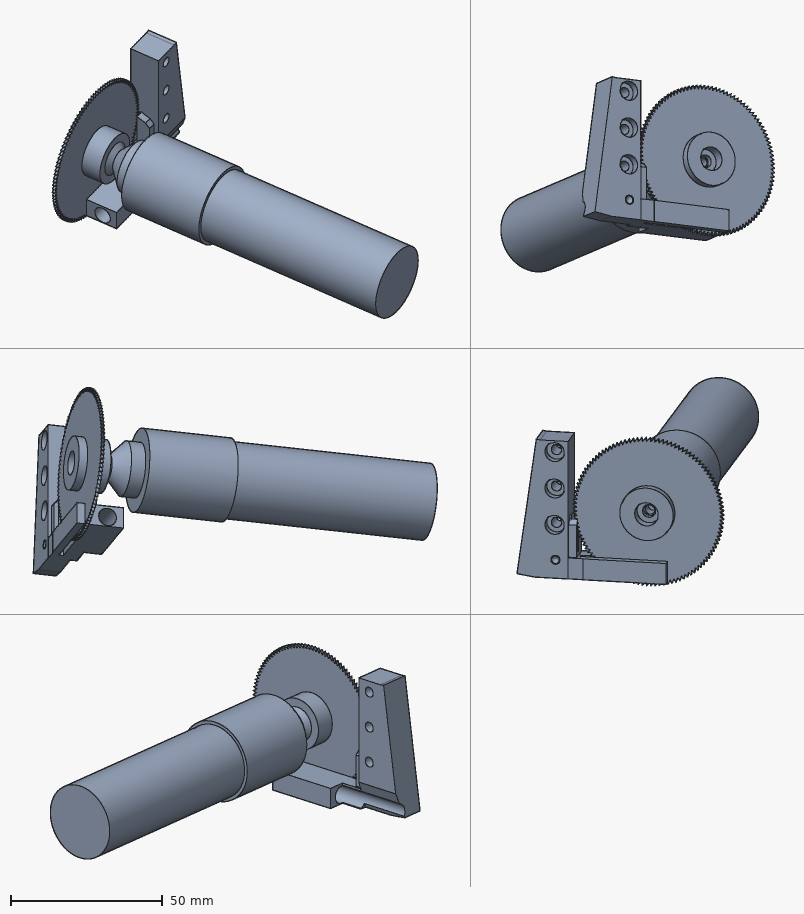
import cadquery as cq
import math

TOTAL_LENGTH = 122.3

BLADE_DIAMETER = 50.7
BLADE_THICKNESS = 1.0
BLADE_START = 2.9
BLADE_END = BLADE_START + BLADE_THICKNESS
TOOTH_COUNT = 110
FIRST_TOOTH_SHIFT = -0.1
TOOTH_DEPTH = 1.2
TOOTH_GULLET_SHARE = 0.2

FLANGE_DIAMETER = 18.0
FLANGE_END = 11.0
PILOT_DIAMETER = 12.7
PILOT_END = 6.1
ARBOR_CONE_DIAMETER = 12.0
NECK_DIAMETER = 8.3
NECK_X = 12.8
SCREW_HEAD_DIAMETER = 8.0
SCREW_HEAD_DEPTH = 4.0
SCREW_CLEARANCE_DIAMETER = 4.3
SCREW_THREAD_DIAMETER = 3.3
SCREW_THREAD_DEPTH = 4.9

NOSE_DIAMETER = 18.6
NOSE_X = 18.0
COLLAR_DIAMETER = 28.0
COLLAR_X = 22.9
HANDLE_DIAMETER = 25.7
HANDLE_X = 53.3

BRACKET_WIDTH = 11.0
BRACKET_FRONT_Y = 26.4
BRACKET_BACK_Y = 43.7
BRACKET_BOTTOM_Z = -23.7
BRACKET_TOP_Z = 23.5
BACK_FOOT_Z = -22.9
BACK_LEAN = math.tan(math.radians(8.0))
BACK_TOP_RUN = 1.3
BEVEL_START_Z = -13.7
BEVEL_DEPTH = 3.4

MOUNT_HOLE_Y = 30.9
MOUNT_HOLE_TOP_Z = 19.6
MOUNT_HOLE_PITCH = 12.5
MOUNT_HOLE_COUNT = 3
MOUNT_HOLE_DIAMETER = 3.4
MOUNT_HEAD_DIAMETER = 6.5
MOUNT_HEAD_DEPTH = 3.0
SET_SCREW_Y = 30.7
SET_SCREW_Z = -17.4
SET_SCREW_DIAMETER = 3.0
SET_SCREW_DEPTH = 0.1
SET_CONE_DIAMETER = 2.6
SET_CONE_ANGLE = 118.0

ARM_TOP_Z = -16.5
ARM_END_Y = -6.6
ARM_NARROW_WIDTH = 9.9
ARM_WIDE_WIDTH = 16.0
ARM_STEP_Y = 18.5
ARM_RELIEF_DEPTH = 0.1
ARM_RELIEF_LENGTH = 5.0
ROD_HOLE_DIAMETER = 6.1
ROD_HOLE_X = 10.5
ROD_HOLE_Z = -20.4
SLOT_WIDTH = 1.5
SLOT_MIDDLE_X = (BLADE_START + BLADE_END) / 2
ARM_SLOT_Y = 23.0

POST_DEPTH = 2.7
POST_START_X = 1.1
POST_END_X = 9.2
POST_EAVE_Z = -5.4
POST_RIDGE_X = 4.0
POST_SHOULDER_X = 7.6
POST_SLOT_WALL = 0.5
POST_SLOT_FLOOR_Z = -14.9


def bar(x0, x1, y0, y1, z0, z1):
    """Rectangular block between two corners."""
    return cq.Workplane("XY").box(x1 - x0, y1 - y0, z1 - z0, centered=False).translate((x0, y0, z0))


def rod(x0, x1, diameter, y=0.0, z=0.0):
    """Cylinder along X."""
    return cq.Workplane("YZ", origin=(x0, y, z)).circle(diameter / 2).extrude(x1 - x0)


def turned(points):
    """Solid of revolution about the X axis from (x, radius) points."""
    return cq.Workplane("XY").polyline(points).close().revolve(360, (0, 0, 0), (1, 0, 0))


def make_motor():
    """Conical nose, collar and long handle turned in one piece."""
    return turned([
        (NECK_X, 0),
        (NECK_X, NECK_DIAMETER / 2),
        (NOSE_X, NOSE_DIAMETER / 2),
        (COLLAR_X, NOSE_DIAMETER / 2),
        (COLLAR_X, COLLAR_DIAMETER / 2),
        (HANDLE_X, COLLAR_DIAMETER / 2),
        (HANDLE_X, HANDLE_DIAMETER / 2),
        (TOTAL_LENGTH, HANDLE_DIAMETER / 2),
        (TOTAL_LENGTH, 0),
    ])


def make_arbor():
    """Rear flange with a recess for the washer pilot in front and a cone down to the neck behind."""
    body = turned([
        (BLADE_END, 0),
        (BLADE_END, FLANGE_DIAMETER / 2),
        (FLANGE_END, FLANGE_DIAMETER / 2),
        (FLANGE_END, ARBOR_CONE_DIAMETER / 2),
        (NECK_X, NECK_DIAMETER / 2),
        (NECK_X, 0),
    ])
    body = body.cut(rod(BLADE_END, PILOT_END, PILOT_DIAMETER))
    return body.cut(rod(PILOT_END, PILOT_END + SCREW_THREAD_DEPTH, SCREW_THREAD_DIAMETER))


def make_washer():
    """Front clamping flange whose pilot carries the blade, with a counterbored screw hole."""
    body = rod(0, BLADE_START, FLANGE_DIAMETER).union(rod(0, PILOT_END, PILOT_DIAMETER))
    body = body.cut(rod(0, PILOT_END, SCREW_CLEARANCE_DIAMETER))
    return body.cut(rod(0, SCREW_HEAD_DEPTH, SCREW_HEAD_DIAMETER))


def make_blade():
    """Toothed disc with a bore that fits the washer pilot."""
    tip_radius = BLADE_DIAMETER / 2
    root_radius = tip_radius - TOOTH_DEPTH
    pitch = 2 * math.pi / TOOTH_COUNT
    outline = []
    for tooth in range(TOOTH_COUNT):
        tip = (tooth + FIRST_TOOTH_SHIFT) * pitch
        root = tip + TOOTH_GULLET_SHARE * pitch
        outline.append((tip_radius * math.cos(tip), tip_radius * math.sin(tip)))
        outline.append((root_radius * math.cos(root), root_radius * math.sin(root)))
    disc = cq.Workplane("YZ", origin=(BLADE_START, 0, 0)).polyline(outline).close().extrude(BLADE_THICKNESS)
    return disc.cut(rod(BLADE_START, BLADE_END, PILOT_DIAMETER))


def make_bracket():
    """Upright block with a leaning back and a bevel along its lower +X edge."""
    back_top_y = BRACKET_BACK_Y - BACK_LEAN * (BRACKET_TOP_Z - BACK_FOOT_Z)
    profile = [
        (BRACKET_FRONT_Y, BRACKET_BOTTOM_Z),
        (BRACKET_BACK_Y - (BACK_FOOT_Z - BRACKET_BOTTOM_Z) / BACK_LEAN, BRACKET_BOTTOM_Z),
        (BRACKET_BACK_Y, BACK_FOOT_Z),
        (back_top_y, BRACKET_TOP_Z + BACK_TOP_RUN * BACK_LEAN),
        (back_top_y - BACK_TOP_RUN, BRACKET_TOP_Z),
        (BRACKET_FRONT_Y, BRACKET_TOP_Z),
    ]
    body = cq.Workplane("YZ").polyline(profile).close().extrude(BRACKET_WIDTH)
    bevel = (
        cq.Workplane("XZ", origin=(0, BRACKET_FRONT_Y, 0))
        .moveTo(BRACKET_WIDTH, BEVEL_START_Z)
        .lineTo(BRACKET_WIDTH, BRACKET_BOTTOM_Z)
        .lineTo(BRACKET_WIDTH - BEVEL_DEPTH, BRACKET_BOTTOM_Z)
        .close()
        .extrude(BRACKET_FRONT_Y - BRACKET_BACK_Y)
    )
    return body.cut(bevel)


def cut_mount_holes(body):
    """Column of counterbored screw holes."""
    for index in range(MOUNT_HOLE_COUNT):
        z = MOUNT_HOLE_TOP_Z - index * MOUNT_HOLE_PITCH
        body = body.cut(rod(0, BRACKET_WIDTH, MOUNT_HOLE_DIAMETER, MOUNT_HOLE_Y, z))
        body = body.cut(rod(0, MOUNT_HEAD_DEPTH, MOUNT_HEAD_DIAMETER, MOUNT_HOLE_Y, z))
    return body


def cut_set_screw_recess(body):
    """Shallow round recess that ends in a conical seat."""
    cone_radius = SET_CONE_DIAMETER / 2
    cone_depth = cone_radius / math.tan(math.radians(SET_CONE_ANGLE / 2))
    recess = turned([
        (0, 0),
        (0, SET_SCREW_DIAMETER / 2),
        (SET_SCREW_DEPTH, SET_SCREW_DIAMETER / 2),
        (SET_SCREW_DEPTH, cone_radius),
        (SET_SCREW_DEPTH + cone_depth, 0),
    ])
    return body.cut(recess.translate((0, SET_SCREW_Y, SET_SCREW_Z)))


def make_arm():
    """Stepped arm with a shallow relief on its front face next to the bracket."""
    body = bar(0, ARM_NARROW_WIDTH, ARM_END_Y, BRACKET_FRONT_Y, BRACKET_BOTTOM_Z, ARM_TOP_Z)
    body = body.union(bar(0, ARM_WIDE_WIDTH, ARM_END_Y, ARM_STEP_Y, BRACKET_BOTTOM_Z, ARM_TOP_Z))
    relief = bar(0, ARM_RELIEF_DEPTH, BRACKET_FRONT_Y - ARM_RELIEF_LENGTH, BRACKET_FRONT_Y,
                 BRACKET_BOTTOM_Z, ARM_TOP_Z)
    return body.cut(relief)


def make_post():
    """Post with 45 degree eaves and a gentler slope between ridge and shoulder."""
    ridge_z = POST_EAVE_Z + (POST_RIDGE_X - POST_START_X)
    shoulder_z = POST_EAVE_Z + (POST_END_X - POST_SHOULDER_X)
    return (
        cq.Workplane("XZ", origin=(0, BRACKET_FRONT_Y, 0))
        .moveTo(POST_START_X, ARM_TOP_Z)
        .lineTo(POST_START_X, POST_EAVE_Z)
        .lineTo(POST_RIDGE_X, ridge_z)
        .lineTo(POST_SHOULDER_X, shoulder_z)
        .lineTo(POST_END_X, POST_EAVE_Z)
        .lineTo(POST_END_X, ARM_TOP_Z)
        .close()
        .extrude(POST_DEPTH)
    )


def make_holder():
    """Bracket, arm and post in one piece, with the rod hole and the blade slots."""
    body = cut_mount_holes(make_bracket()).union(make_arm()).union(make_post())
    body = cut_set_screw_recess(body)
    rod_hole = (
        cq.Workplane("XZ", origin=(ROD_HOLE_X, BRACKET_BACK_Y, ROD_HOLE_Z))
        .circle(ROD_HOLE_DIAMETER / 2)
        .extrude(BRACKET_BACK_Y - ARM_END_Y)
    )
    slot_start = SLOT_MIDDLE_X - SLOT_WIDTH / 2
    slot_end = SLOT_MIDDLE_X + SLOT_WIDTH / 2
    arm_slot = bar(slot_start, slot_end, ARM_END_Y, ARM_SLOT_Y, BRACKET_BOTTOM_Z, ARM_TOP_Z)
    post_slot = bar(slot_start, slot_end, BRACKET_FRONT_Y - POST_DEPTH,
                    BRACKET_FRONT_Y - POST_SLOT_WALL, POST_SLOT_FLOOR_Z, BRACKET_TOP_Z)
    return body.cut(rod_hole).cut(arm_slot).cut(post_slot)


motor = make_motor()
arbor = make_arbor()
washer = make_washer()
blade = make_blade()
holder = make_holder()

result = cq.Compound.makeCompound([
    motor.solids().val(),
    arbor.solids().val(),
    washer.solids().val(),
    blade.solids().val(),
    holder.solids().val(),
])